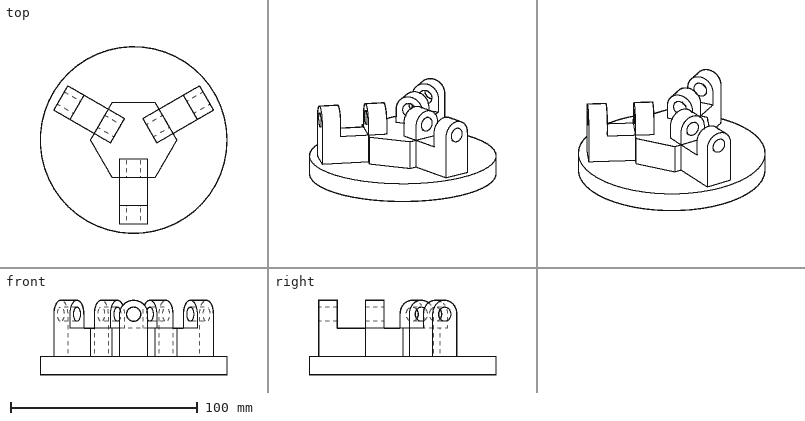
import cadquery as cq
import math

base_diameter = 100.0
base_height = 10.0

hub_side_count = 6
hub_across_flats = 40.0
hub_height = 15.0

arm_count = 3
first_arm_angle = -90.0
arm_spacing = 360.0 / arm_count
arm_width = 15.0
arm_outer_end = 45.0
lug_thickness = 10.0
inner_lug_start = 10.0
outer_lug_start = arm_outer_end - lug_thickness
pin_hole_diameter = 7.5

hub_across_corners = hub_across_flats / math.cos(math.pi / hub_side_count)
hub_top = base_height + hub_height
lug_radius = arm_width / 2
pin_height = hub_top + lug_radius


def make_base():
    return cq.Workplane("XY").circle(base_diameter / 2).extrude(base_height)


def make_hub():
    """Hexagonal prism with two corners on the X axis."""
    return (
        cq.Workplane("XY")
        .workplane(offset=base_height)
        .polygon(hub_side_count, hub_across_corners)
        .extrude(hub_height)
    )


def make_lug(start):
    """Round-topped lug whose inner face is at X = start, rising from the base disc."""
    return (
        cq.Workplane("YZ", origin=(start, 0, 0))
        .moveTo(-lug_radius, base_height)
        .lineTo(lug_radius, base_height)
        .lineTo(lug_radius, pin_height)
        .threePointArc((0, pin_height + lug_radius), (-lug_radius, pin_height))
        .close()
        .extrude(lug_thickness)
    )


def make_arm():
    """Radial bar along +X that carries an inner and an outer lug, bored for one pin."""
    arm_length = arm_outer_end - inner_lug_start
    bar = cq.Workplane("XY", origin=(inner_lug_start, 0, base_height)).box(
        arm_length, arm_width, hub_height, centered=(False, True, False)
    )
    pin_hole = (
        cq.Workplane("YZ", origin=(inner_lug_start, 0, pin_height))
        .circle(pin_hole_diameter / 2)
        .extrude(arm_length)
    )
    return bar.union(make_lug(inner_lug_start)).union(make_lug(outer_lug_start)).cut(pin_hole)


result = make_base().union(make_hub())
arm = make_arm()
for index in range(arm_count):
    arm_angle = first_arm_angle + index * arm_spacing
    result = result.union(arm.rotate((0, 0, 0), (0, 0, 1), arm_angle))